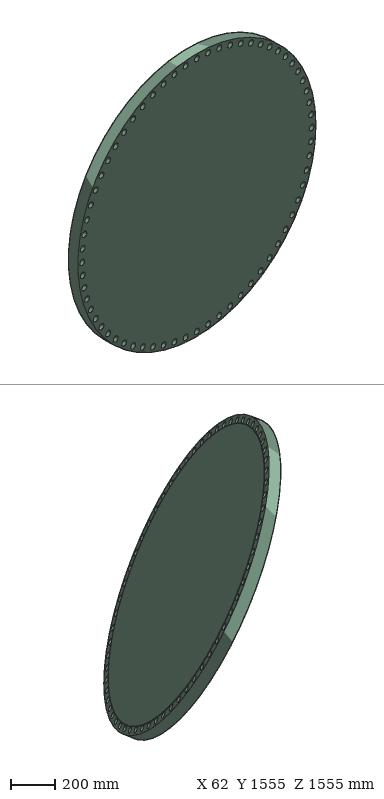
import cadquery as cq

outer_diameter = 1555.0
thickness = 62.0

hole_count = 64
bolt_circle_diameter = 1500.0
hole_diameter = 31.0

raised_face_diameter = 1469.0
raised_face_height = 2.0
raised_face_chamfer = 1.0

face_x = -thickness / 2
rim_x = face_x + raised_face_height


def make_cylinder(start_x, diameter, length):
    """Solid cylinder on the X axis, running from start_x towards +X."""
    return cq.Workplane("YZ", origin=(start_x, 0, 0)).circle(diameter / 2).extrude(length)


def make_raised_face():
    """Thin disc that stands proud of the rim, with its -X edge bevelled."""
    disc = make_cylinder(face_x, raised_face_diameter, raised_face_height)
    return disc.faces("<X").chamfer(raised_face_chamfer)


def make_bolt_holes():
    """Pins that span the full thickness, the first one on the +Y axis."""
    return (
        cq.Workplane("YZ", origin=(face_x, 0, 0))
        .polarArray(bolt_circle_diameter / 2, 0, 360, hole_count)
        .circle(hole_diameter / 2)
        .extrude(thickness)
    )


flange = make_cylinder(rim_x, outer_diameter, thickness - raised_face_height)
result = flange.union(make_raised_face()).cut(make_bolt_holes())